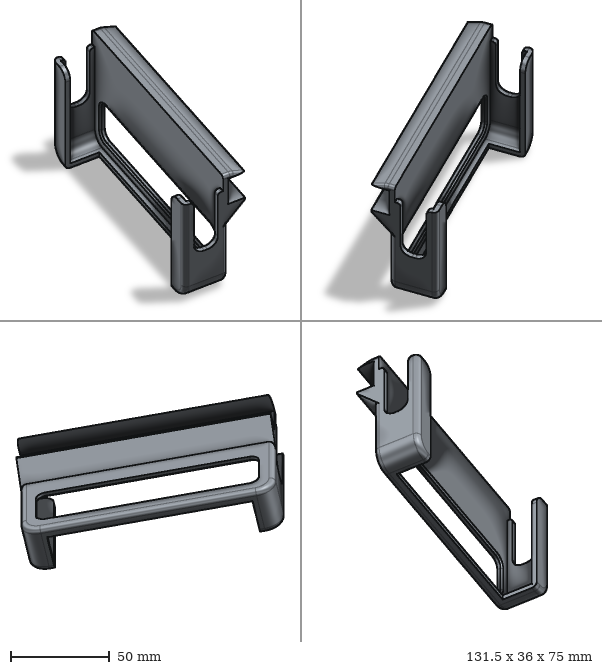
import cadquery as cq
import math

width = 131.5
height = 75.0
depth = 36.0

wall = 3.0
cradle_depth = 26.0
cradle_height = 65.0
corner_radius = 10.0
edge_radius = wall
plate_front = cradle_depth - wall

flange_width = 12.6
flange_corner_radius = 6.0
floor_front = 20.0

slot_width = 13.99
slot_back = floor_front
slot_front = slot_back - slot_width
slot_bottom = 30.0
slot_radius = 6.0
rear_post_radius = 2.0
front_post_radius = slot_front - wall

window_margin = 8.0
window_top = 33.0
window_radius = 5.0
window_chamfer = 1.0

lip_height = 3.0
lip_tip = 0.3
lip_bend_start = 27.0
lip_bend_end = 29.3
lip_corner_radius = 2.0
hook_top = 55.0
hook_tip = 1.0


def block(x0, x1, y0, y1, z0, z1):
    """Box given by its limits along each axis."""
    return cq.Workplane("XY").box(x1 - x0, y1 - y0, z1 - z0, centered=False).translate((x0, y0, z0))


def make_cradle():
    """Tray with rounded bottom corners, open at the top."""
    outer = block(0, width, 0, cradle_depth, 0, cradle_height)
    outer = outer.edges("|Y and <Z").fillet(corner_radius)
    for face in ("<Y", ">Y"):
        rim = outer.faces(face).edges("not(>Z)")
        outer = rim.fillet(edge_radius)
    cavity = block(wall, width - wall, wall, plate_front, wall, height)
    cavity = cavity.edges("|Y and <Z").fillet(corner_radius - wall)
    return outer.cut(cavity)


def make_front_gap():
    """Opening between the flanges, flared where it rounds the flange tops."""
    left = flange_width
    right = width - flange_width
    gap = block(left, right, 0, floor_front, 0, height)
    for x, direction in ((left, -1), (right, 1)):
        x_outer = x + direction * flange_corner_radius
        z_centre = cradle_height - flange_corner_radius
        corner = block(min(x, x_outer), max(x, x_outer), 0, wall, z_centre, cradle_height)
        round_bar = (
            cq.Workplane("XZ", origin=(x_outer, 0, z_centre))
            .circle(flange_corner_radius)
            .extrude(-wall)
        )
        gap = gap.union(corner.cut(round_bar))
    return gap


def make_slots():
    """Side wall slots with rounded bottoms and flared mouths."""
    diagonal = math.sqrt(0.5)
    rear_arc_y = slot_back + rear_post_radius * (1 - diagonal)
    rear_arc_z = cradle_height - rear_post_radius * (1 - diagonal)
    front_arc_y = slot_front - front_post_radius * (1 - diagonal)
    front_arc_z = cradle_height - front_post_radius * (1 - diagonal)
    bottom_inset = slot_radius * (1 - diagonal)
    profile = (
        cq.Workplane("YZ")
        .moveTo(slot_front - front_post_radius, cradle_height)
        .threePointArc((front_arc_y, front_arc_z), (slot_front, cradle_height - front_post_radius))
        .lineTo(slot_front, slot_bottom + slot_radius)
        .threePointArc(
            (slot_front + bottom_inset, slot_bottom + bottom_inset),
            (slot_front + slot_radius, slot_bottom),
        )
        .lineTo(slot_back - slot_radius, slot_bottom)
        .threePointArc(
            (slot_back - bottom_inset, slot_bottom + bottom_inset),
            (slot_back, slot_bottom + slot_radius),
        )
        .lineTo(slot_back, cradle_height - rear_post_radius)
        .threePointArc((rear_arc_y, rear_arc_z), (slot_back + rear_post_radius, cradle_height))
        .close()
    )
    return profile.extrude(width)


def start_top_profile():
    """Top line of the lip: flat, bending into the slope, down to its tip."""
    bend_corner = (lip_bend_start + lip_bend_end) / 2
    slope = (lip_height - lip_tip) / (depth - bend_corner)
    bend_end_z = height - slope * (lip_bend_end - bend_corner)
    return (
        cq.Workplane("YZ")
        .moveTo(plate_front, height)
        .lineTo(lip_bend_start, height)
        .tangentArcPoint((lip_bend_end, bend_end_z), relative=False)
        .lineTo(depth, height - lip_height + lip_tip)
    )


def make_mount():
    """Upper back plate with its lip and hook, rounded along both upper ends."""
    lip_bottom = height - lip_height
    hook_root = hook_top - hook_tip - (depth - plate_front)
    mount = (
        start_top_profile()
        .lineTo(depth, lip_bottom)
        .lineTo(cradle_depth, lip_bottom)
        .lineTo(cradle_depth, hook_top)
        .lineTo(depth, hook_top)
        .lineTo(depth, hook_top - hook_tip)
        .lineTo(plate_front, hook_root)
        .close()
        .extrude(width)
    )
    envelope = start_top_profile().lineTo(depth, 0).lineTo(plate_front, 0).close().extrude(width)
    top_ends = envelope.faces("<X or >X").edges("not(|Z or <Z)")
    return mount.intersect(top_ends.fillet(lip_corner_radius))


def make_window():
    """Rounded window with a chamfer around its front edge."""
    opening = block(
        window_margin, width - window_margin, plate_front, depth, window_margin, window_top
    )
    opening = opening.edges("|Y").fillet(window_radius)
    flare = (
        opening.faces("<Y").wires().toPending()
        .workplane()
        .offset2D(window_chamfer)
        .extrude(-window_chamfer, taper=math.degrees(math.atan(1)))
    )
    return opening.union(flare)


cradle = make_cradle().cut(make_front_gap()).cut(make_slots()).cut(make_window())
result = cradle.union(make_mount())